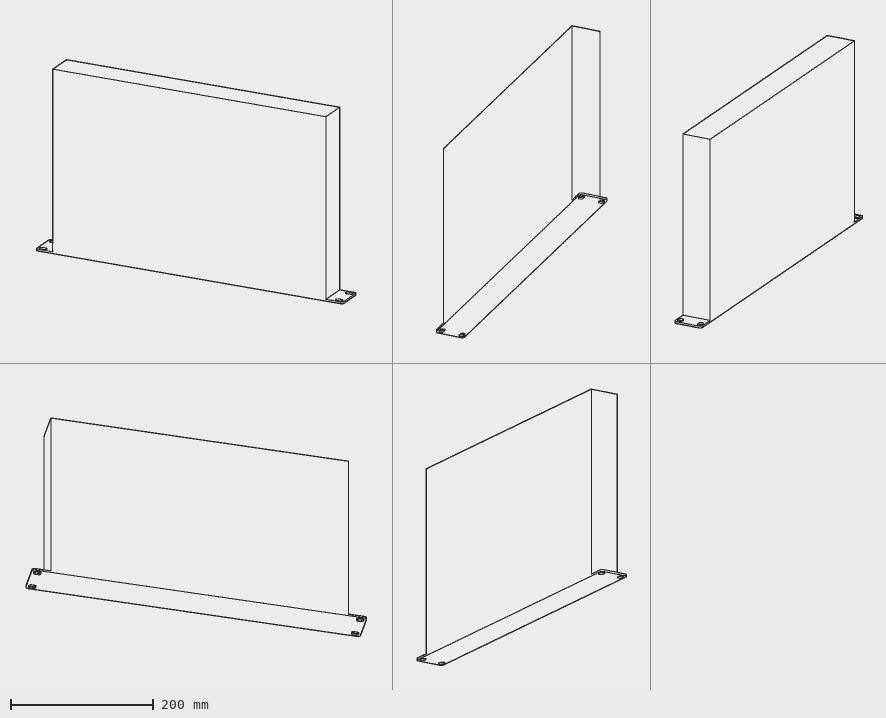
import cadquery as cq

panel_width = 482.5
panel_height = 43.5
total_depth = 276.0

panel_thickness = 3.0
corner_radius = 4.0

body_width = 429.5

slot_length = 10.5
slot_width = 6.8
slot_spacing_x = 465.0
slot_spacing_y = 31.5


def make_panel():
    """Flat mounting panel with rounded corners."""
    return (
        cq.Workplane("XY")
        .rect(panel_width, panel_height)
        .extrude(panel_thickness)
        .edges("|Z")
        .fillet(corner_radius)
    )


def make_body():
    """Box enclosure running the full depth of the part."""
    return cq.Workplane("XY").rect(body_width, panel_height).extrude(total_depth)


def make_slots():
    """Four round-ended slots that cut through the panel ears."""
    return (
        cq.Workplane("XY")
        .rect(slot_spacing_x, slot_spacing_y, forConstruction=True)
        .vertices()
        .slot2D(slot_length, slot_width)
        .extrude(panel_thickness)
    )


result = make_panel().union(make_body()).cut(make_slots())